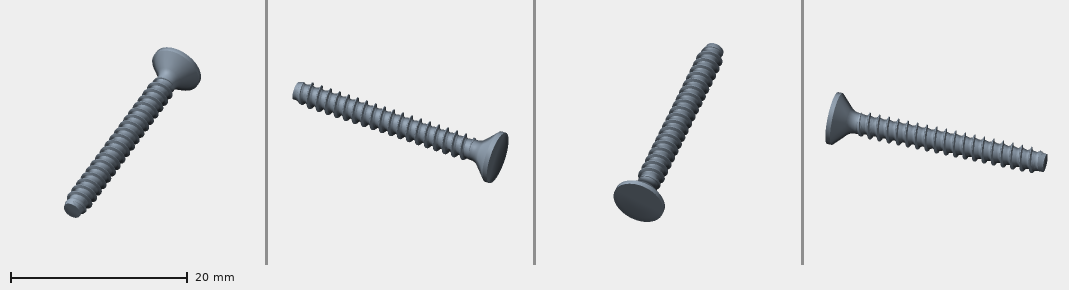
import cadquery as cq
import math


total_length = 25.0
head_radius = 3.0
rim_height = 0.55
cone_angle = math.radians(45)

shank_radius = 1.2
neck_curve_radius = 1.25
shank_end_depth = 3.1
core_radius = 1.05
core_start_depth = 4.0

first_crest_depth = 3.98
last_crest_depth = 23.0
full_height_turns = 17
lead_in_turns = 2
run_out_turns = 1.5
pitch = (last_crest_depth - first_crest_depth) / full_height_turns
thread_radius = 1.5
crest_width = 0.08
flank_foot_radius = 1.15
flank_foot_offset = 0.18
land_head_offset = 0.42
land_gap = 0.02
land_edge_inset = 0.012
land_edge_radius = core_radius - land_edge_inset
ridge_root_embed = 0.1
thread_inner_radius = core_radius - ridge_root_embed

fade_in_start_depth = shank_end_depth
fade_in_start_radius = 1.28
fade_in_end_depth = 4.08
fade_out_start_depth = 23.32
crest_clearance = 0.012
envelope_radius = thread_radius + crest_clearance


def make_head_and_shank():
    """Head, neck and tapering shank as one turned shape."""
    neck_top_radius = shank_radius + neck_curve_radius * (1 - math.cos(cone_angle))
    neck_top_depth = rim_height + (head_radius - neck_top_radius) / math.tan(cone_angle)
    neck_end_depth = neck_top_depth + neck_curve_radius * math.sin(cone_angle)
    return (
        cq.Workplane("YZ")
        .lineTo(head_radius, 0)
        .lineTo(head_radius, rim_height)
        .lineTo(neck_top_radius, neck_top_depth)
        .tangentArcPoint((shank_radius, neck_end_depth), relative=False)
        .lineTo(shank_radius, shank_end_depth)
        .lineTo(core_radius, core_start_depth)
        .lineTo(0, core_start_depth)
        .close()
        .revolve(360, (0, 0, 0), (0, 1, 0))
    )


def make_core():
    """Plain cylinder that carries the ridge and runs up through the head."""
    return cq.Workplane("XY").circle(core_radius).extrude(total_length).rotate((0, 0, 0), (0, 0, 1), 90)


def make_full_thread():
    """Right-handed ridge at full height, from inside the shank to past the tip face."""
    start_depth = first_crest_depth - lead_in_turns * pitch
    height = (lead_in_turns + full_height_turns + run_out_turns) * pitch
    land_tip_offset = pitch - land_gap - land_head_offset
    half_crest = crest_width / 2
    ridge = [
        (thread_inner_radius, -land_head_offset),
        (land_edge_radius, -land_head_offset),
        (flank_foot_radius, -flank_foot_offset),
        (thread_radius, -half_crest),
        (thread_radius, half_crest),
        (flank_foot_radius, flank_foot_offset),
        (land_edge_radius, land_tip_offset),
        (thread_inner_radius, land_tip_offset),
    ]
    path = cq.Wire.makeHelix(pitch, height, thread_radius, center=cq.Vector(0, 0, start_depth))
    return (
        cq.Workplane("XZ", origin=(0, 0, start_depth))
        .polyline(ridge)
        .close()
        .sweep(cq.Workplane(path), isFrenet=True)
    )


def make_thread_envelope():
    """Turned shape that fades the thread height at both ends."""
    return (
        cq.Workplane("YZ")
        .moveTo(0, fade_in_start_depth)
        .lineTo(fade_in_start_radius, fade_in_start_depth)
        .lineTo(envelope_radius, fade_in_end_depth)
        .lineTo(envelope_radius, fade_out_start_depth)
        .lineTo(land_edge_radius, total_length)
        .lineTo(0, total_length)
        .close()
        .revolve(360, (0, 0, 0), (0, 1, 0))
    )


thread = make_full_thread().intersect(make_thread_envelope(), clean=False)
threaded_core = make_core().union(thread, clean=False)
screw = make_head_and_shank().union(threaded_core, clean=False)
result = screw.rotate((0, 0, 0), (1, 0, 0), 90)